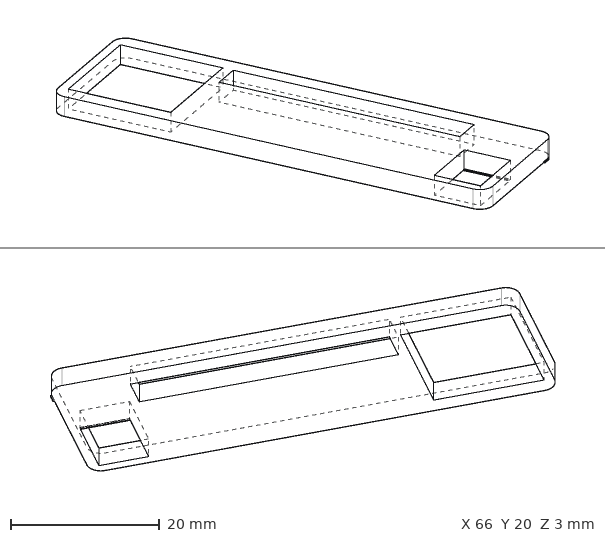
import cadquery as cq

overall_length = 66.0
tab_reach = 0.2
plate_length = overall_length - tab_reach
plate_width = 20.0
plate_thickness = 3.0
corner_radius = 2.0

window_rear = 2.4
large_left, large_right, large_front = 1.4, 16.9, 17.7
slot_left, slot_right, slot_front = 18.5, 54.9, 6.55
small_left, small_right = 57.3, 64.3
small_rear, small_front = 9.9, 18.7

skin_thickness = 0.1
lip_depth = 0.25
tab_rear, tab_front = 1.85, 3.1


def block(left, right, rear, front, height):
    """Box standing on the underside plane, placed from the left and rear edges."""
    return cq.Workplane("XY").box(right - left, front - rear, height, centered=False).translate(
        (left, -front, 0)
    )


plate = block(0, plate_length, 0, plate_width, plate_thickness).edges("|Z").fillet(corner_radius)

windows = [
    (large_left, large_right, window_rear, large_front),
    (slot_left, slot_right, window_rear, slot_front),
    (small_left, small_right, small_rear, small_front),
]
for window in windows:
    plate = plate.cut(block(*window, plate_thickness))

lip = block(small_left, small_right, small_rear - lip_depth, small_rear + lip_depth, skin_thickness)

tab = block(plate_length - corner_radius, overall_length, tab_rear, tab_front, skin_thickness)

result = plate.union(lip).union(tab)